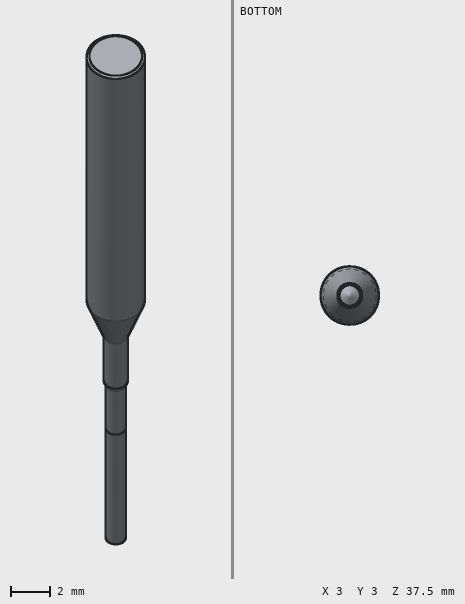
import cadquery as cq
import math

overall_length = 37.5
shank_diameter = 3.0
neck_diameter = 1.27
drill_diameter = 1.06
point_angle = 118.0
taper_angle = 35.0

shank_length = 18.82
neck_end_height = 12.47
cutting_length = 8.8
chamfer_width = 0.15
chamfer_height = 0.087

shank_radius = shank_diameter / 2
neck_radius = neck_diameter / 2
drill_radius = drill_diameter / 2
taper_slope = math.tan(math.radians(taper_angle / 2))

point_height = drill_radius / math.tan(math.radians(point_angle / 2))
step_end_height = neck_end_height - (neck_radius - drill_radius) / taper_slope
shank_base_height = overall_length - shank_length
neck_start_height = shank_base_height - (shank_radius - neck_radius) / taper_slope


def revolve_about_z(profile):
    """Revolve a closed outline of (radius, height) points about the Z axis."""
    return cq.Workplane("XZ").polyline(profile).close().revolve(360, (0, 0, 0), (0, 1, 0))


def make_cutting_part():
    """Slim lower cylinder ending in the conical drill point."""
    return revolve_about_z([
        (0, 0),
        (drill_radius, point_height),
        (drill_radius, cutting_length),
        (0, cutting_length),
    ])


def make_shank_body():
    """Clamping shank, long taper, neck, small step taper and drill-size stem."""
    return revolve_about_z([
        (0, cutting_length),
        (drill_radius, cutting_length),
        (drill_radius, step_end_height),
        (neck_radius, neck_end_height),
        (neck_radius, neck_start_height),
        (shank_radius, shank_base_height),
        (shank_radius, overall_length - chamfer_height),
        (shank_radius - chamfer_width, overall_length),
        (0, overall_length),
    ])


cutting_part = make_cutting_part()
shank_body = make_shank_body()

result = cq.Compound.makeCompound([cutting_part.val(), shank_body.val()])